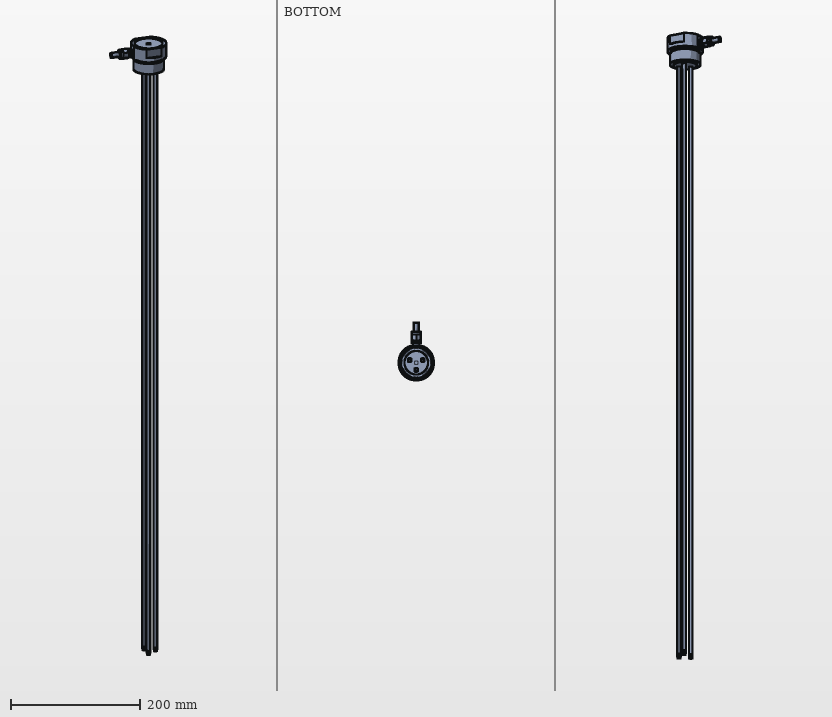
import cadquery as cq

TOTAL_HEIGHT = 1012.0
CAP_HEIGHT = 21.0
SEAL_HEIGHT = 2.0
BASE_HEIGHT = 19.0
FOOT_HEIGHT = 2.0

CAP_DIAMETER = 55.0
SIDE_FLATS_WIDTH = 49.0
SIDE_FLAT_HEIGHT = 14.0
RECESS_DIAMETER = 43.0
RECESS_DEPTH = 1.0
VENT_DIAMETER = 6.0
VENT_DEPTH = 3.0

GLAND_DROP = 12.0
SEAT_OFFSET = 26.0
NECK_DIAMETER = 10.0
COLLAR_DIAMETER = 14.0
COLLAR_START = 30.0
COLLAR_LENGTH = 1.0
NUT_FLATS_WIDTH = 14.0
NUT_START = 34.0
NUT_LENGTH = 9.0
DOME_DIAMETER = 14.0
DOME_LENGTH = 5.0
DOME_CHAMFER = 1.0
TUBE_DIAMETER = 8.0
TUBE_BORE = 5.0
TUBE_END = 62.0

SEAL_DIAMETER = 45.0
BASE_DIAMETER = 48.0
BASE_CHAMFER = 2.0
FOOT_DIAMETER = 36.0

ROD_DIAMETER = 6.0
BACK_ROD_Y = 11.0
SIDE_ROD_X = 10.0
SIDE_ROD_Y = -4.0
TIP_DIAMETER = 5.8
TIP_LENGTH = 6.0
NOSE_DIAMETER = 5.0
NOSE_LENGTH = 3.0

CAP_BOTTOM = TOTAL_HEIGHT - CAP_HEIGHT
SEAL_BOTTOM = CAP_BOTTOM - SEAL_HEIGHT
BASE_BOTTOM = SEAL_BOTTOM - BASE_HEIGHT
FOOT_BOTTOM = BASE_BOTTOM - FOOT_HEIGHT
GLAND_Z = TOTAL_HEIGHT - GLAND_DROP
DOME_START = NUT_START + NUT_LENGTH
ROD_CENTRES = [(0, BACK_ROD_Y), (-SIDE_ROD_X, SIDE_ROD_Y), (SIDE_ROD_X, SIDE_ROD_Y)]


def upright(diameter, bottom, height):
    """Cylinder standing on the Z axis."""
    return cq.Workplane("XY", origin=(0, 0, bottom)).circle(diameter / 2).extrude(height)


def gland_plane(distance):
    """Plane across the gland axis, at a distance in -Y from the centre of the cap."""
    return cq.Workplane("XZ", origin=(0, -distance, GLAND_Z))


def gland_cylinder(diameter, start, length):
    return gland_plane(start).circle(diameter / 2).extrude(length)


def make_lid():
    lid = upright(CAP_DIAMETER, CAP_BOTTOM, CAP_HEIGHT)
    for side in (-1, 1):
        beyond_flat = cq.Workplane("XY").box(
            CAP_DIAMETER, CAP_DIAMETER, SIDE_FLAT_HEIGHT, centered=(True, True, False)
        )
        offset = side * (SIDE_FLATS_WIDTH + CAP_DIAMETER) / 2
        lid = lid.cut(beyond_flat.translate((offset, 0, TOTAL_HEIGHT - SIDE_FLAT_HEIGHT)))
    seat = cq.Workplane("XY").box(CAP_DIAMETER, CAP_DIAMETER, CAP_HEIGHT, centered=(True, True, False))
    lid = lid.cut(seat.translate((0, -SEAT_OFFSET - CAP_DIAMETER / 2, CAP_BOTTOM)))
    recess_floor = TOTAL_HEIGHT - RECESS_DEPTH
    lid = lid.cut(upright(RECESS_DIAMETER, recess_floor, RECESS_DEPTH))
    return lid.cut(upright(VENT_DIAMETER, recess_floor - VENT_DEPTH, VENT_DEPTH))


def make_gland():
    neck = gland_cylinder(NECK_DIAMETER, SEAT_OFFSET, NUT_START - SEAT_OFFSET)
    collar = gland_cylinder(COLLAR_DIAMETER, COLLAR_START, COLLAR_LENGTH)
    nut = gland_plane(NUT_START).polygon(6, NUT_FLATS_WIDTH, circumscribed=True).extrude(NUT_LENGTH)
    dome = gland_cylinder(DOME_DIAMETER, DOME_START, DOME_LENGTH).faces("<Y").chamfer(DOME_CHAMFER)
    tube = gland_cylinder(TUBE_DIAMETER, DOME_START, TUBE_END - DOME_START)
    bore = gland_cylinder(TUBE_BORE, DOME_START, TUBE_END - DOME_START)
    return neck.union(collar).union(nut).union(dome).union(tube).cut(bore)


def make_rod():
    rod = upright(ROD_DIAMETER, TIP_LENGTH, FOOT_BOTTOM - TIP_LENGTH)
    tip = upright(TIP_DIAMETER, NOSE_LENGTH, TIP_LENGTH - NOSE_LENGTH)
    nose = upright(NOSE_DIAMETER, 0, NOSE_LENGTH)
    return rod.union(tip).union(nose)


def make_base():
    base = upright(SEAL_DIAMETER, SEAL_BOTTOM, SEAL_HEIGHT)
    base = base.union(upright(BASE_DIAMETER, BASE_BOTTOM, BASE_HEIGHT).faces(">Z").chamfer(BASE_CHAMFER))
    base = base.union(upright(FOOT_DIAMETER, FOOT_BOTTOM, FOOT_HEIGHT))
    for x, y in ROD_CENTRES:
        base = base.union(make_rod().translate((x, y, 0)))
    return base


cap = make_lid().union(make_gland())
base = make_base()
result = cq.Compound.makeCompound([cap.val(), base.val()])